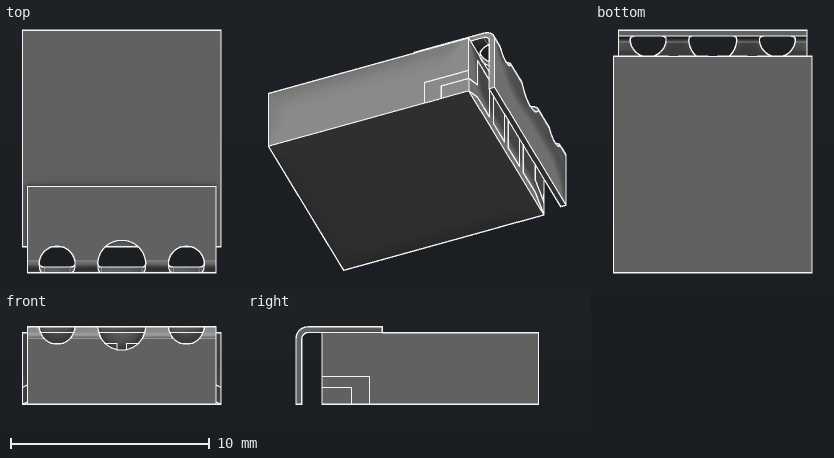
import math

import cadquery as cq


block_width = 10.0
block_length = 10.9
block_height = 3.6
coating = 0.01

sheet = 0.3
shield_width = 9.5
shield_gap = 1.0
shield_overlap = 3.05
inner_bend = 0.3
outer_bend = inner_bend + sheet
shield_front = -(shield_gap + sheet)
shield_top = block_height + sheet
bend_y = shield_front + outer_bend
bend_z = shield_top - outer_bend

hole_spacing = 3.25
side_hole_radius = 0.9
middle_hole_radius = 1.2
neutral_radius = 0.5
hole_offset = 0.16
bend_length = neutral_radius * math.pi / 2
bend_sections = 9
tool_margin = 0.2

pad_top = 3.05
pad_bottom = 0.55
inner_pad_start = 0.25
inner_pad_end = 1.73
outer_pad_start = 2.24
outer_pad_end = 3.82

terminal_length = 1.5
terminal_height = 0.85
gap_length = 2.4
gap_height = 1.4


def box(x0, x1, y0, y1, z0, z1):
    """Box given by its limits along each axis."""
    return cq.Workplane("XY").box(x1 - x0, y1 - y0, z1 - z0, centered=False).translate((x0, y0, z0))


def front_pads():
    """Pads and terminal straps on the +X half of the front face."""
    inner = box(inner_pad_start, inner_pad_end, 0, coating, pad_bottom, pad_top)
    outer = box(outer_pad_start, outer_pad_end, 0, coating, pad_bottom, pad_top)
    half_width = block_width / 2
    strap = (
        cq.Workplane("XZ")
        .polyline([
            (half_width, 0),
            (half_width, terminal_height),
            (outer_pad_end, pad_bottom + terminal_height),
            (outer_pad_end, pad_bottom),
        ])
        .close()
        .extrude(-coating)
    )
    return inner.union(outer).union(strap)


def side_gap():
    """Shallow L-shaped gap around the terminal on the +X side face."""
    side = block_width / 2
    floor = side - coating
    whole = box(floor, side, 0, gap_length, 0, gap_height)
    terminal = box(floor, side, 0, terminal_length, 0, terminal_height)
    return whole.cut(terminal)


def make_block():
    """Coated block: proud pads in front, bare gaps on both sides."""
    half_width = block_width / 2
    block = box(-half_width, half_width, coating, block_length, 0, block_height)
    pads = front_pads()
    gap = side_gap()
    block = block.cut(gap).cut(gap.mirror("YZ"))
    return block.union(pads).union(pads.mirror("YZ"))


def bent_sheet():
    """Shield without holes: top flange, bend and front leg down to the bottom."""
    diagonal = math.sqrt(0.5)
    profile = (
        cq.Workplane("YZ")
        .moveTo(shield_overlap, shield_top)
        .lineTo(bend_y, shield_top)
        .threePointArc(
            (bend_y - outer_bend * diagonal, bend_z + outer_bend * diagonal),
            (shield_front, bend_z),
        )
        .lineTo(shield_front, 0)
        .lineTo(shield_front + sheet, 0)
        .lineTo(shield_front + sheet, bend_z)
        .threePointArc(
            (bend_y - inner_bend * diagonal, bend_z + inner_bend * diagonal),
            (bend_y, block_height),
        )
        .lineTo(shield_overlap, block_height)
        .close()
    )
    return profile.extrude(shield_width / 2, both=True)


def bend_hole_tool(radius):
    """Part of a hole inside the bend: radial sections with the chord width of the flat circle."""
    near = inner_bend - tool_margin
    far = outer_bend + tool_margin
    sections = []
    for i in range(bend_sections):
        angle = math.pi / 2 * i / (bend_sections - 1)
        half_chord = math.sqrt(radius**2 - (neutral_radius * angle - hole_offset) ** 2)
        corners = [(-half_chord, near), (half_chord, near), (half_chord, far), (-half_chord, far)]
        points = [
            cq.Vector(x, bend_y - reach * math.sin(angle), bend_z + reach * math.cos(angle))
            for x, reach in corners
        ]
        sections.append(cq.Wire.makePolygon(points, close=True))
    return cq.Workplane(cq.Solid.makeLoft(sections))


def cut_hole(shield, x, radius):
    """Cut one hole through the top flange, the bend and the front leg."""
    depth = sheet + 2 * tool_margin
    flange_side = box(x - radius, x + radius, bend_y, bend_y + radius, 0, shield_top + tool_margin)
    flange_hole = (
        cq.Workplane("XY", origin=(x, bend_y - hole_offset, block_height - tool_margin))
        .circle(radius)
        .extrude(depth)
        .intersect(flange_side)
    )
    leg_center_z = bend_z + bend_length - hole_offset
    leg_back = shield_front + sheet + tool_margin
    leg_side = box(x - radius, x + radius, leg_back - depth, leg_back, 0, bend_z)
    leg_hole = (
        cq.Workplane("XZ", origin=(x, leg_back, leg_center_z))
        .circle(radius)
        .extrude(depth)
        .intersect(leg_side)
    )
    bend_hole = bend_hole_tool(radius).translate((x, 0, 0))
    return shield.cut(flange_hole).cut(leg_hole).cut(bend_hole)


def make_shield():
    """Bent shield with a large middle hole and a smaller hole on each side."""
    shield = bent_sheet()
    for x, radius in (
        (-hole_spacing, side_hole_radius),
        (0, middle_hole_radius),
        (hole_spacing, side_hole_radius),
    ):
        shield = cut_hole(shield, x, radius)
    return shield


result = make_block().union(make_shield())